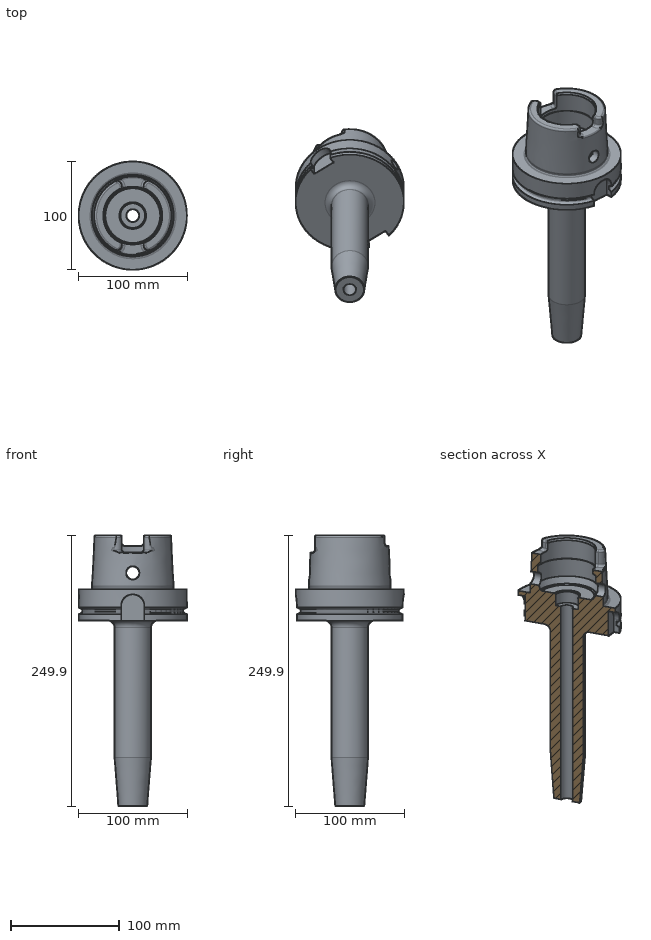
import cadquery as cq
import math


flange_radius = 50.0
flange_thickness = 29.0
gripper_groove_mid_z = -20.0
gripper_groove_root_radius = 46.6
gripper_groove_half_width = 3.3
gripper_groove_fillet = 0.8
gripper_flank_angle = math.radians(30)

shank_length = 49.9
taper_slope = 1 / 20
gauge_radius = 37.5
gauge_z = 10.0
taper_start_z = 3.0
neck_radius = 37.6
neck_top_z = 1.5
foot_fillet = 1.0
foot_relief_radius = 39.6
foot_relief_depth = 0.2
mouth_fillet = 2.0

cavity_radius = 26.5
cavity_chamfer_width = 0.8
cavity_chamfer_height = 2.0
clamp_edge_z = 30.0
clamp_radius = 29.5
clamp_shoulder_angle = math.radians(30)
cavity_floor_z = 4.0
cavity_floor_radius = 25.2
cavity_floor_cone_angle = math.radians(30)
cavity_foot_radius = 26.8
clamp_wall_bottom_z = 11.2
socket_mouth_radius = 12.4
socket_radius = 11.3
socket_depth = 12.0
coolant_bore_radius = 5.8

slot_width = 20.0
slot_flare_radius = 5.0
flare_y = 27.2
flare_x = slot_width / 2 + slot_flare_radius
slot_floor_fillet = 2.5
slot_sill_fillet = 1.0
front_slot_depth = 16.0
rear_slot_depth = 10.0

cross_hole_diameter = 12.0
cross_hole_z = 15.0

keyway_width = 21.5
keyway_floor_y = 43.0
keyway_top_z = -4.8

chip_hole_diameter = 10.0
chip_hole_depth = 4.6
chip_hole_z = -7.0

body_radius = 17.0
body_fillet = 6.0
tip_end_z = -200.0
tip_cone_length = 45.0
tip_radius = 13.5
tip_chamfer = 0.5


def taper_radius(z):
    return gauge_radius - taper_slope * (z - gauge_z)


def turned_solid(profile):
    """Turn a closed half profile, drawn as radius against height, fully round Z, starting on -Y."""
    return profile.revolve(360, (0, 0, 0), (0, 1, 0)).rotate((0, 0, 0), (0, 0, 1), -90)


def turned_body():
    """Solid outer form of the chuck, with the rim of the taper shank rounded."""
    flank_depth = flange_radius - gripper_groove_root_radius
    root_half_width = gripper_groove_half_width - flank_depth * math.tan(gripper_flank_angle)
    corner_turn = math.pi / 2 - gripper_flank_angle
    corner_setback = gripper_groove_fillet * math.tan(corner_turn / 2)
    flank_out = corner_setback * math.cos(gripper_flank_angle)
    flank_z = corner_setback * math.sin(gripper_flank_angle)
    rim_z = gripper_groove_mid_z + gripper_groove_half_width
    root_z = gripper_groove_mid_z + root_half_width
    lower_root_z = gripper_groove_mid_z - root_half_width
    lower_rim_z = gripper_groove_mid_z - gripper_groove_half_width
    cone_start_z = tip_end_z + tip_cone_length

    profile = (
        cq.Workplane("XZ")
        .moveTo(0, tip_end_z)
        .lineTo(tip_radius - tip_chamfer, tip_end_z)
        .lineTo(tip_radius, tip_end_z + tip_chamfer)
        .lineTo(body_radius, cone_start_z)
        .lineTo(body_radius, -flange_thickness - body_fillet)
        .radiusArc((body_radius + body_fillet, -flange_thickness), body_fillet)
        .lineTo(flange_radius, -flange_thickness)
        .lineTo(flange_radius, lower_rim_z)
        .lineTo(gripper_groove_root_radius + flank_out, lower_root_z - flank_z)
        .radiusArc((gripper_groove_root_radius, lower_root_z + corner_setback), gripper_groove_fillet)
        .lineTo(gripper_groove_root_radius, root_z - corner_setback)
        .radiusArc((gripper_groove_root_radius + flank_out, root_z + flank_z), gripper_groove_fillet)
        .lineTo(flange_radius, rim_z)
        .lineTo(flange_radius, 0)
        .lineTo(foot_relief_radius, 0)
        .lineTo(neck_radius + foot_fillet, -foot_relief_depth)
        .radiusArc((neck_radius, foot_fillet - foot_relief_depth), foot_fillet)
        .lineTo(neck_radius, neck_top_z)
        .lineTo(taper_radius(taper_start_z), taper_start_z)
        .lineTo(taper_radius(shank_length), shank_length)
        .lineTo(0, shank_length)
        .close()
    )
    return turned_solid(profile).faces(">Z").edges().fillet(mouth_fillet)


def cavity():
    """Clamping cavity, coolant socket and through bore as one turned cutter."""
    shoulder_height = (clamp_radius - cavity_radius) * math.tan(clamp_shoulder_angle)
    socket_chamfer = socket_mouth_radius - socket_radius
    floor_cone_height = (cavity_foot_radius - cavity_floor_radius) * math.tan(cavity_floor_cone_angle)
    socket_floor_z = cavity_floor_z - socket_depth
    profile = (
        cq.Workplane("XZ")
        .moveTo(0, tip_end_z)
        .lineTo(coolant_bore_radius, tip_end_z)
        .lineTo(coolant_bore_radius, socket_floor_z)
        .lineTo(socket_radius, socket_floor_z)
        .lineTo(socket_radius, cavity_floor_z - socket_chamfer)
        .lineTo(socket_mouth_radius, cavity_floor_z)
        .lineTo(cavity_floor_radius, cavity_floor_z)
        .lineTo(cavity_foot_radius, cavity_floor_z + floor_cone_height)
        .lineTo(clamp_radius, clamp_wall_bottom_z)
        .lineTo(clamp_radius, clamp_edge_z - shoulder_height)
        .lineTo(cavity_radius, clamp_edge_z)
        .lineTo(cavity_radius, shank_length - cavity_chamfer_height)
        .lineTo(cavity_radius + cavity_chamfer_width, shank_length)
        .lineTo(0, shank_length)
        .close()
    )
    return turned_solid(profile)


def driving_slot(depth):
    """Cutter for the slot on -Y: parallel walls that flare outwards, rounded along the floor."""
    half_width = slot_width / 2
    flare_angle = math.atan2(flare_y, flare_x)
    flare_end_x = flare_x + slot_flare_radius * math.cos(flare_angle)
    flare_end_y = flare_y + slot_flare_radius * math.sin(flare_angle)
    run_out_x = flare_end_x + flange_radius * math.sin(flare_angle)
    run_out_y = flare_end_y - flange_radius * math.cos(flare_angle)
    outer_y = flange_radius
    return (
        cq.Workplane("XY", origin=(0, 0, shank_length - depth))
        .moveTo(-half_width, 0)
        .lineTo(-half_width, -flare_y)
        .radiusArc((-flare_end_x, -flare_end_y), slot_flare_radius)
        .lineTo(-run_out_x, -run_out_y)
        .lineTo(-run_out_x, -outer_y)
        .lineTo(run_out_x, -outer_y)
        .lineTo(run_out_x, -run_out_y)
        .lineTo(flare_end_x, -flare_end_y)
        .radiusArc((half_width, -flare_y), slot_flare_radius)
        .lineTo(half_width, 0)
        .close()
        .extrude(depth)
        .faces("<Z")
        .edges()
        .fillet(slot_floor_fillet)
    )


def sill_rounding(depth):
    """Cutter that rounds the outer edge of the flat floor of the slot on -Y."""
    floor_z = shank_length - depth
    edge_radius = taper_radius(floor_z)
    edge_turn = math.pi / 2 - math.atan(taper_slope)
    setback = slot_sill_fillet * math.tan(edge_turn / 2)
    cone_z = floor_z - setback * math.sin(edge_turn)
    outer_radius = edge_radius + slot_sill_fillet
    profile = (
        cq.Workplane("XZ")
        .moveTo(edge_radius - setback, floor_z)
        .radiusArc((taper_radius(cone_z), cone_z), slot_sill_fillet)
        .lineTo(outer_radius, cone_z)
        .lineTo(outer_radius, floor_z + slot_sill_fillet)
        .lineTo(edge_radius - setback, floor_z + slot_sill_fillet)
        .close()
    )
    flare_distance = math.hypot(flare_x, flare_y)
    foot_radius = slot_flare_radius + slot_floor_fillet
    foot_cosine = (flare_distance**2 + edge_radius**2 - foot_radius**2) / (2 * flare_distance * edge_radius)
    half_angle = math.degrees(math.atan2(flare_x, flare_y) - math.acos(foot_cosine))
    ring = profile.revolve(2 * half_angle, (0, 0, 0), (0, 1, 0))
    return ring.rotate((0, 0, 0), (0, 0, 1), -half_angle - 90)


def mouth_slots():
    """Both driving slots as one cutter, shaped so that it leaves rounded lips along the slot walls."""
    block = cq.Workplane("XY").circle(flange_radius).extrude(shank_length)
    slotted = block.cut(driving_slot(front_slot_depth))
    slotted = slotted.cut(turned_around(driving_slot(rear_slot_depth)))
    slotted = slotted.faces(">Z").edges().fillet(mouth_fillet)
    inside_rim = cq.Workplane("XY").circle(flange_radius - 2 * mouth_fillet).extrude(shank_length)
    return inside_rim.cut(slotted)


def cross_hole():
    return (
        cq.Workplane("XZ", origin=(0, 0, cross_hole_z))
        .circle(cross_hole_diameter / 2)
        .extrude(flange_radius, both=True)
    )


def gripper_keyway():
    """Cutter for the keyway on -Y: flat floor, round top, open at the lower flange face."""
    radius = keyway_width / 2
    arc_z = keyway_top_z - radius
    return (
        cq.Workplane("XZ", origin=(0, -keyway_floor_y, 0))
        .moveTo(-radius, -flange_thickness)
        .lineTo(-radius, arc_z)
        .threePointArc((0, keyway_top_z), (radius, arc_z))
        .lineTo(radius, -flange_thickness)
        .close()
        .extrude(flange_radius - keyway_floor_y)
    )


def chip_hole():
    return (
        cq.Workplane("YZ", origin=(-flange_radius, 0, chip_hole_z))
        .circle(chip_hole_diameter / 2)
        .extrude(chip_hole_depth)
    )


def turned_around(shape):
    """The same shape half a turn further round Z."""
    return shape.rotate((0, 0, 0), (0, 0, 1), 180)


result = turned_body()
result = result.cut(mouth_slots())
result = result.cut(sill_rounding(front_slot_depth))
result = result.cut(turned_around(sill_rounding(rear_slot_depth)))
result = result.cut(cavity())
for keyway in (gripper_keyway(), turned_around(gripper_keyway())):
    result = result.cut(keyway)
result = result.cut(cross_hole()).cut(chip_hole())